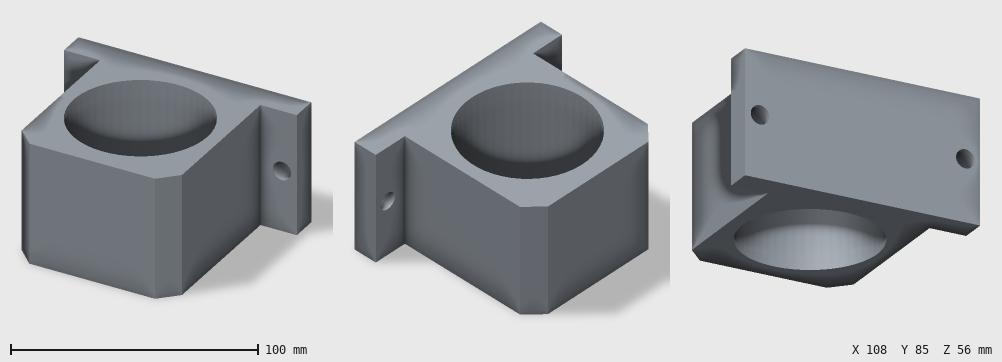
import cadquery as cq

flange_width = 108.0
flange_thickness = 12.0
height = 56.0

total_depth = 85.0
body_width = 74.3
corner_chamfer = 8.0

bore_diameter = 62.0
bore_to_front = 40.0

mount_hole_diameter = 8.4
mount_hole_spacing = 94.3


def make_flange():
    return (
        cq.Workplane("XY")
        .box(flange_width, flange_thickness, height, centered=(True, False, False))
        .translate((0, total_depth - flange_thickness, 0))
    )


def make_body():
    block = cq.Workplane("XY").box(body_width, total_depth, height, centered=(True, False, False))
    return block.faces("<Y").edges("|Z").chamfer(corner_chamfer)


def make_bore():
    return cq.Workplane("XY").center(0, bore_to_front).circle(bore_diameter / 2).extrude(height)


def make_mount_hole(x):
    return (
        cq.Workplane("XZ", origin=(x, total_depth, height / 2))
        .circle(mount_hole_diameter / 2)
        .extrude(flange_thickness)
    )


result = make_flange().union(make_body()).cut(make_bore())
for side in (-1, 1):
    result = result.cut(make_mount_hole(side * mount_hole_spacing / 2))